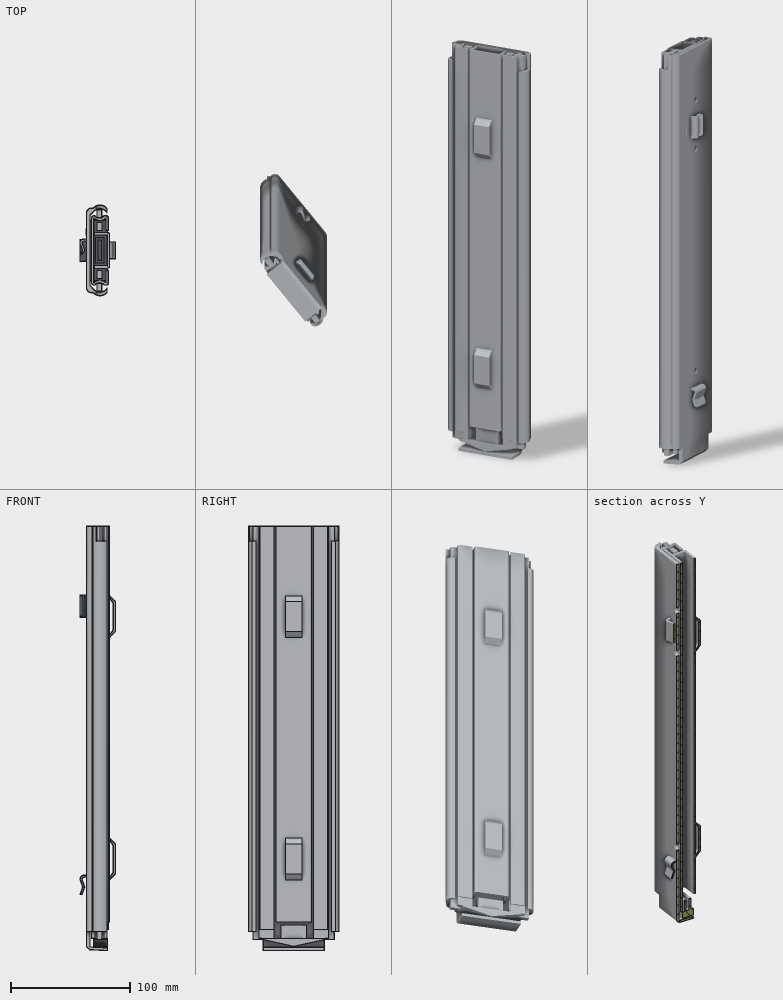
import cadquery as cq
import math


LENGTH = 355.5

HALF_WIDTH = 38.0
OUTER_WALL = 3.2
OUTER_DEPTH = 17.5
ARCH_CREST_X = 11.5
VALLEY_X = 5.7
VALLEY_Y = 35.2
LIP_Y = 35.0
CORNER_RADIUS = 4.5
CORNER_Y = 31.0
OUTER_BOTTOM = 16.0
LIP_NOTCH_X = 8.2
LIP_NOTCH_HEIGHT = 12.5

TONGUE_HALF_WIDTH = 25.5
TONGUE_REACH = 17.8
TONGUE_TOP = 3.2
TONGUE_BEND = 3.0
TONGUE_DROP = 0.7

HOLE_DIAMETER = 5.5
HOLE_HEIGHTS = (76.0, 267.8, 309.7)

HOOK_DEPTH = 5.5
HOOK_WALL = 1.8
HOOK_CHAMFER = 1.0
HOOK_WAIST = 2.0
SIDE_HOOK_BOTTOM = 279.0
SIDE_HOOK_HEIGHT = 19.0
SIDE_HOOK_ROOT_Y = 9.5
SIDE_HOOK_LENGTH = 12.8
SIDE_HOOK_FLARE = 3.2
LOWER_HOOK_TOP = 63.3
LOWER_HOOK_LENGTH = 16.5
LOWER_HOOK_FLARE = 6.5
LOWER_HOOK_HALF_WIDTH = 9.2

TAB_NEAR_Y = 12.0
TAB_FAR_Y = 18.0
TAB_RISE = 0.5
TAB_BOTTOM = 282.0
TAB_HEIGHT = 13.5

MIDDLE_WALL = 2.0
MIDDLE_BACK = 4.3
MIDDLE_FRONT = 18.5
MIDDLE_HALF_WIDTH = 29.0
MIDDLE_BACK_RADIUS = 2.5
MIDDLE_FRONT_CHAMFER = 1.0
GROOVE_DEPTH = 2.0
GROOVE_START = 7.0
GROOVE_END = 15.0
MIDDLE_LIP_Y = 16.7
MIDDLE_BOTTOM = 10.3
MIDDLE_LIP_BOTTOM = 17.8

INNER_WALL = 2.0
INNER_FRONT = 19.5
INNER_BACK = 6.8
INNER_HALF_WIDTH = 15.0
INNER_RADIUS = 1.8
INNER_BOTTOM = 24.0

LOOP_FRONT = 24.5
LOOP_WALL = 2.0
LOOP_HALF_WIDTH = 7.0
LOOP_HEIGHT = 35.0
LOOP_SLOPE = 5.0
LOOP_CENTRES = (76.8, 280.0)

STRIP_BACK = 9.0
STRIP_FRONT = 13.0
OUTER_STRIP = (27.7, 34.0)
INNER_STRIP = (16.7, 23.5)
RETAINER_BOTTOM = 9.2
STOP_BACK = 6.0
STOP_FRONT = 17.8
STOP_HALF_WIDTH = 25.2
STOP_TIP = 3.5
POST_BACK = 8.0
POST_FRONT = 15.0
POST_HALF_WIDTH = 10.5
POST_WALL = 2.0
POST_TOP = 21.5


def box(x0, x1, y0, y1, z0, z1):
    """Box between two opposite corners."""
    return cq.Workplane("XY").box(x1 - x0, y1 - y0, z1 - z0, centered=False).translate((x0, y0, z0))


def arc_middle(centre, radius, degrees):
    """Point at an angle on a circle, used as the middle point of a bend."""
    angle = math.radians(degrees)
    return centre[0] + radius * math.cos(angle), centre[1] + radius * math.sin(angle)


def full_section(half_outline, bottom):
    """Extrude a half outline on the +Y side up to the top and mirror it across Y = 0."""
    half = half_outline.close().extrude(LENGTH - bottom).translate((0, 0, bottom))
    return half.union(half.mirror("XZ"))


def outer_profile():
    arch_inside = HALF_WIDTH - OUTER_WALL
    corner_centre = (CORNER_RADIUS, CORNER_Y)
    half_outline = (
        cq.Workplane("XY")
        .lineTo(0, CORNER_Y)
        .threePointArc(
            arc_middle(corner_centre, CORNER_RADIUS, 135), (CORNER_RADIUS, CORNER_Y + CORNER_RADIUS)
        )
        .lineTo(VALLEY_X, VALLEY_Y)
        .threePointArc((ARCH_CREST_X, HALF_WIDTH), (OUTER_DEPTH, LIP_Y))
        .lineTo(OUTER_DEPTH, LIP_Y - OUTER_WALL)
        .threePointArc((ARCH_CREST_X, arch_inside), (VALLEY_X, VALLEY_Y - OUTER_WALL))
        .lineTo(OUTER_WALL, CORNER_Y - OUTER_WALL / 2)
        .lineTo(OUTER_WALL, 0)
    )
    rail = full_section(half_outline, OUTER_BOTTOM)
    notch = box(
        LIP_NOTCH_X, OUTER_DEPTH, -HALF_WIDTH, HALF_WIDTH, LENGTH - LIP_NOTCH_HEIGHT, LENGTH
    )
    return rail.cut(notch)


def tongue():
    outline = (
        cq.Workplane("XZ")
        .moveTo(0, OUTER_BOTTOM)
        .lineTo(0, TONGUE_DROP + TONGUE_BEND)
        .lineTo(TONGUE_BEND, TONGUE_DROP)
        .lineTo(TONGUE_REACH, 0)
        .lineTo(TONGUE_REACH, TONGUE_TOP - TONGUE_DROP)
        .lineTo(OUTER_WALL, TONGUE_TOP)
        .lineTo(OUTER_WALL, OUTER_BOTTOM)
        .close()
    )
    return outline.extrude(TONGUE_HALF_WIDTH, both=True)


def hook(length, flare, width):
    """Hook standing on -X: root at Z = 0, free end at Z = -length, centred on Y = 0."""
    bend = HOOK_DEPTH - HOOK_WALL
    bend_centre = (-HOOK_WALL, -bend)
    inside_bend = bend - HOOK_WALL
    waist = flare - length
    outline = (
        cq.Workplane("XZ")
        .lineTo(-HOOK_WALL, 0)
        .threePointArc(arc_middle(bend_centre, bend, 135), (-HOOK_DEPTH, -bend))
        .lineTo(-HOOK_WAIST - HOOK_WALL / 2, waist)
        .lineTo(-HOOK_DEPTH, -length)
        .lineTo(-HOOK_DEPTH + HOOK_WALL, -length)
        .lineTo(-HOOK_WAIST + HOOK_WALL / 2, waist)
        .lineTo(-HOOK_DEPTH + HOOK_WALL, -bend)
        .threePointArc(arc_middle(bend_centre, inside_bend, 135), (-HOOK_WALL, -HOOK_WALL))
        .lineTo(0, -HOOK_WALL)
        .close()
    )
    return outline.extrude(width / 2, both=True).faces("<Z").edges("|X").chamfer(HOOK_CHAMFER)


def lower_hook():
    shape = hook(LOWER_HOOK_LENGTH, LOWER_HOOK_FLARE, 2 * LOWER_HOOK_HALF_WIDTH)
    return shape.translate((0, 0, LOWER_HOOK_TOP))


def side_hook():
    shape = hook(SIDE_HOOK_LENGTH, SIDE_HOOK_FLARE, SIDE_HOOK_HEIGHT)
    turned = shape.rotate((0, 0, 0), (1, 0, 0), -90)
    return turned.translate((0, SIDE_HOOK_ROOT_Y, SIDE_HOOK_BOTTOM + SIDE_HOOK_HEIGHT / 2))


def sloping_tab():
    outline = [(0, TAB_NEAR_Y), (0, TAB_FAR_Y), (-TAB_RISE, TAB_FAR_Y)]
    return cq.Workplane("XY").workplane(offset=TAB_BOTTOM).polyline(outline).close().extrude(TAB_HEIGHT)


def make_outer_rail():
    rail = outer_profile().union(tongue()).union(lower_hook()).union(side_hook()).union(sloping_tab())
    holes = (
        cq.Workplane("YZ")
        .pushPoints([(0, height) for height in HOLE_HEIGHTS])
        .circle(HOLE_DIAMETER / 2)
        .extrude(OUTER_WALL)
    )
    return rail.cut(holes)


def make_middle_rail():
    groove_middle = (GROOVE_START + GROOVE_END) / 2
    groove_floor = MIDDLE_HALF_WIDTH - GROOVE_DEPTH
    corner_centre = (MIDDLE_BACK + MIDDLE_BACK_RADIUS, MIDDLE_HALF_WIDTH - MIDDLE_BACK_RADIUS)
    inside_front = MIDDLE_FRONT - MIDDLE_WALL
    inside_back = MIDDLE_BACK + MIDDLE_WALL
    flange_inside = MIDDLE_HALF_WIDTH - MIDDLE_WALL
    half_outline = (
        cq.Workplane("XY")
        .moveTo(MIDDLE_BACK, 0)
        .lineTo(MIDDLE_BACK, corner_centre[1])
        .threePointArc(
            arc_middle(corner_centre, MIDDLE_BACK_RADIUS, 135), (corner_centre[0], MIDDLE_HALF_WIDTH)
        )
        .lineTo(GROOVE_START, MIDDLE_HALF_WIDTH)
        .threePointArc((groove_middle, groove_floor), (GROOVE_END, MIDDLE_HALF_WIDTH))
        .lineTo(MIDDLE_FRONT - MIDDLE_FRONT_CHAMFER, MIDDLE_HALF_WIDTH)
        .lineTo(MIDDLE_FRONT, MIDDLE_HALF_WIDTH - MIDDLE_FRONT_CHAMFER)
        .lineTo(MIDDLE_FRONT, MIDDLE_LIP_Y)
        .lineTo(inside_front, MIDDLE_LIP_Y)
        .lineTo(inside_front, flange_inside)
        .threePointArc((groove_middle, groove_floor - MIDDLE_WALL), (inside_back, flange_inside))
        .lineTo(inside_back, 0)
    )
    rail = full_section(half_outline, MIDDLE_BOTTOM)
    lip_relief = box(
        OUTER_DEPTH, MIDDLE_FRONT, -MIDDLE_HALF_WIDTH, MIDDLE_HALF_WIDTH, MIDDLE_BOTTOM, MIDDLE_LIP_BOTTOM
    )
    return rail.cut(lip_relief)


def bridge_loop():
    """Raised strip with two sloping legs, centred on Z = 0."""
    end = LOOP_HEIGHT / 2
    flat_end = end - LOOP_SLOPE
    outline = [
        (INNER_FRONT, -end),
        (LOOP_FRONT, -flat_end),
        (LOOP_FRONT, flat_end),
        (INNER_FRONT, end),
        (INNER_FRONT, end - LOOP_WALL),
        (LOOP_FRONT - LOOP_WALL, flat_end - LOOP_WALL / 2),
        (LOOP_FRONT - LOOP_WALL, LOOP_WALL / 2 - flat_end),
        (INNER_FRONT, LOOP_WALL - end),
    ]
    return cq.Workplane("XZ").polyline(outline).close().extrude(LOOP_HALF_WIDTH, both=True)


def make_inner_rail():
    corner_centre = (INNER_FRONT - INNER_RADIUS, INNER_HALF_WIDTH - INNER_RADIUS)
    half_outline = (
        cq.Workplane("XY")
        .moveTo(INNER_FRONT, 0)
        .lineTo(INNER_FRONT, corner_centre[1])
        .threePointArc(arc_middle(corner_centre, INNER_RADIUS, 45), (corner_centre[0], INNER_HALF_WIDTH))
        .lineTo(INNER_BACK, INNER_HALF_WIDTH)
        .lineTo(INNER_BACK, INNER_HALF_WIDTH - INNER_WALL)
        .lineTo(INNER_FRONT - INNER_WALL, INNER_HALF_WIDTH - INNER_WALL)
        .lineTo(INNER_FRONT - INNER_WALL, 0)
    )
    rail = full_section(half_outline, INNER_BOTTOM)
    for height in LOOP_CENTRES:
        rail = rail.union(bridge_loop().translate((0, 0, height)))
    return rail


def end_stop():
    """V-shaped block closing the lower end between the rails."""
    outline = [
        (-STOP_HALF_WIDTH, MIDDLE_BOTTOM),
        (-STOP_HALF_WIDTH, RETAINER_BOTTOM),
        (0, STOP_TIP),
        (STOP_HALF_WIDTH, RETAINER_BOTTOM),
        (STOP_HALF_WIDTH, MIDDLE_BOTTOM),
    ]
    block = cq.Workplane("YZ").polyline(outline).close().extrude(STOP_FRONT - STOP_BACK)
    return block.translate((STOP_BACK, 0, 0))


def hollow_post():
    outside = box(POST_BACK, POST_FRONT, -POST_HALF_WIDTH, POST_HALF_WIDTH, MIDDLE_BOTTOM, POST_TOP)
    pocket_half_width = POST_HALF_WIDTH - POST_WALL
    pocket = box(
        POST_BACK + POST_WALL,
        POST_FRONT - POST_WALL,
        -pocket_half_width,
        pocket_half_width,
        MIDDLE_BOTTOM,
        POST_TOP,
    )
    return outside.cut(pocket)


def make_retainer():
    reach = OUTER_STRIP[1]
    retainer = box(STRIP_BACK, STRIP_FRONT, -reach, reach, RETAINER_BOTTOM, MIDDLE_BOTTOM)
    for near, far in (OUTER_STRIP, INNER_STRIP):
        strip = box(STRIP_BACK, STRIP_FRONT, near, far, RETAINER_BOTTOM, LENGTH)
        retainer = retainer.union(strip).union(strip.mirror("XZ"))
    return retainer.union(end_stop()).union(hollow_post())


outer_rail = make_outer_rail()
middle_rail = make_middle_rail()
inner_rail = make_inner_rail()
retainer = make_retainer()

result = cq.Compound.makeCompound(
    [outer_rail.val(), middle_rail.val(), inner_rail.val(), retainer.val()]
)